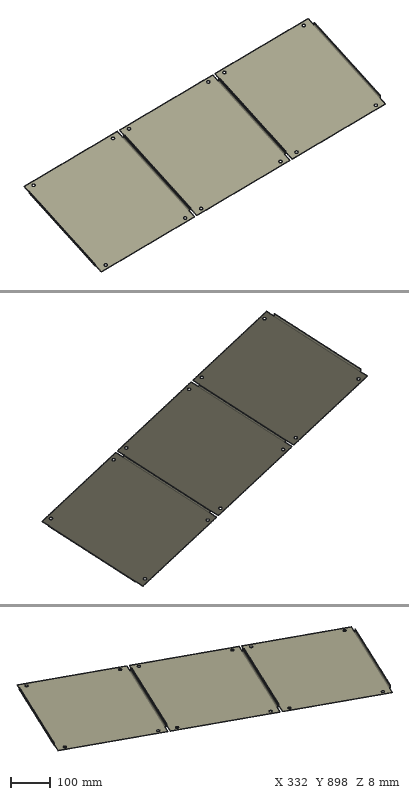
import cadquery as cq

total_length = 898.0
panel_count = 3
panel_pitch = 300.0
panel_length = total_length - (panel_count - 1) * panel_pitch

sheet_width = 332.0
sheet_thickness = 1.0
inner_bend_radius = 1.4
outer_bend_radius = inner_bend_radius + sheet_thickness

flange_height = 8.0
flange_length = 285.0

sheet_length = panel_length - 2 * outer_bend_radius

hole_diameter = 8.0
hole_spacing_x = 310.0
hole_spacing_y = 250.0


def centered_block(size_x, size_y, size_z, bottom=0.0):
    """Block centred on the Z axis, standing on the height `bottom`."""
    return (
        cq.Workplane("XY")
        .workplane(offset=bottom)
        .box(size_x, size_y, size_z, centered=(True, True, False))
    )


def round_bottom_bends(block, radius):
    """Round the two lower edges of a block that run along X."""
    return block.edges("|X and <Z").fillet(radius)


def make_flanged_strip():
    """Shallow U-shaped strip: the middle of the sheet with a flange bent up at each end."""
    outside = round_bottom_bends(
        centered_block(flange_length, panel_length, flange_height),
        outer_bend_radius,
    )
    inside = round_bottom_bends(
        centered_block(
            flange_length,
            panel_length - 2 * sheet_thickness,
            flange_height,
            bottom=sheet_thickness,
        ),
        inner_bend_radius,
    )
    return outside.cut(inside)


def make_mounting_holes():
    """Four cylinders through the sheet thickness."""
    return (
        cq.Workplane("XY")
        .rect(hole_spacing_x, hole_spacing_y, forConstruction=True)
        .vertices()
        .circle(hole_diameter / 2)
        .extrude(sheet_thickness)
    )


def make_panel():
    """One panel: flat sheet with two flanges and four mounting holes."""
    sheet = centered_block(sheet_width, sheet_length, sheet_thickness)
    return sheet.union(make_flanged_strip()).cut(make_mounting_holes())


panels = []
for index in range(panel_count):
    panel_y = (index - (panel_count - 1) / 2) * panel_pitch
    panels.append(make_panel().translate((0, panel_y, 0)))

result = cq.Compound.makeCompound([panel.solids().val() for panel in panels])